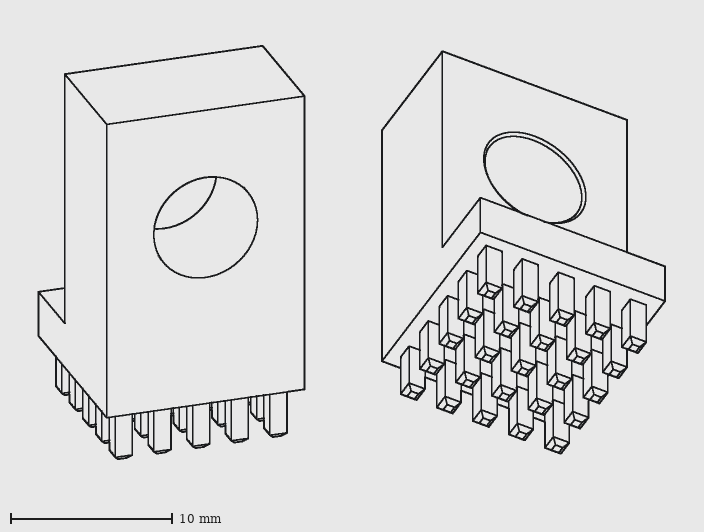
import cadquery as cq

base_side = 13.0
total_height = 23.5

pin_length = 3.5
body_height = total_height - pin_length
step_height = 3.0
upright_depth = 8.0

bore_diameter = 6.82
bore_chamfer = 0.19
bore_drop = 8.0
bore_height = body_height - bore_drop

pins_per_side = 5
pin_pitch = 2.54
pin_width = 1.13
tip_chamfer = 0.3


def make_body():
    """L-shaped block: a square base with an upright along its +X side."""
    base = cq.Workplane("XY").box(base_side, base_side, step_height, centered=(True, True, False))
    upright = (
        cq.Workplane("XY")
        .center((base_side - upright_depth) / 2, 0)
        .box(upright_depth, base_side, body_height, centered=(True, True, False))
    )
    return base.union(upright)


def make_bore():
    """Cutter for the bore, widened to a chamfer where it meets the upright's -X face."""
    face_x = base_side / 2 - upright_depth
    radius = bore_diameter / 2
    profile = [
        (face_x, 0),
        (face_x, radius + bore_chamfer),
        (face_x + bore_chamfer, radius),
        (base_side / 2, radius),
        (base_side / 2, 0),
    ]
    cutter = cq.Workplane("XY").polyline(profile).close().revolve(360, (0, 0, 0), (1, 0, 0))
    return cutter.translate((0, 0, bore_height))


def make_pins():
    """Square grid of pins hanging below the base."""
    return (
        cq.Workplane("XY")
        .rarray(pin_pitch, pin_pitch, pins_per_side, pins_per_side)
        .rect(pin_width, pin_width)
        .extrude(-pin_length)
        .faces("<Z")
        .chamfer(tip_chamfer)
    )


result = make_body().cut(make_bore()).union(make_pins())